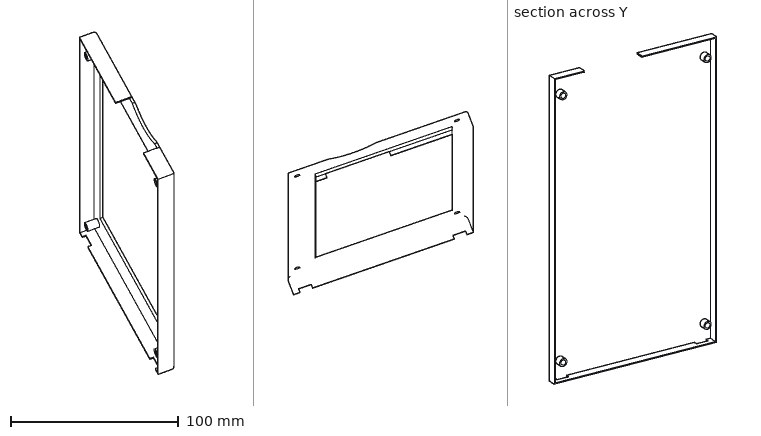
import cadquery as cq

width = 114.25
depth = 11.1
height = 200.3
wall = 1.0
plate = 2.0
edge_round = 2.0

back_y = depth / 2
front_y = -depth / 2
plate_y = back_y - plate

window_width = 87.0
window_height = 157.8
window_x = -4.1

post_x = 50.75
post_z = 87.35
post_diameter = 5.5
post_bore = 3.1
post_length = 7.6
post_tip_y = plate_y - post_length

opening_x = 15.6
opening_width = 40.5
scoop_width = 32.5
scoop_depth = 4.75

notch_x = 49.0
notch_width = 8.0
notch_depth = 2.4


def box(size_x, size_z, y_start, y_end, x=0.0, z=0.0):
    """Box centred on (x, z) and spanning y_start to y_end."""
    center = (x, (y_start + y_end) / 2, z)
    return cq.Workplane("XY").box(size_x, y_end - y_start, size_z).translate(center)


def cylinder(diameter, y_start, y_end, x, z):
    """Cylinder along Y from y_start to y_end, centred on (x, z)."""
    base = cq.Workplane("XZ", origin=(x, y_end, z))
    return base.circle(diameter / 2).extrude(y_end - y_start)


def make_tray():
    """Hollow tray with rounded back edges and a window in its plate."""
    body = box(width, height, front_y, back_y).faces(">Y").edges().fillet(edge_round)
    cavity = box(width - 2 * wall, height - 2 * wall, front_y, plate_y)
    window = box(window_width, window_height, plate_y, back_y, window_x)
    return body.cut(cavity).cut(window)


def add_posts(body):
    """Four posts standing on the plate, bored right through it."""
    for x in (-post_x, post_x):
        for z in (-post_z, post_z):
            body = body.union(cylinder(post_diameter, post_tip_y, plate_y, x, z))
            body = body.cut(cylinder(post_bore, post_tip_y, back_y, x, z))
    return body


def cut_finger_opening(body):
    """Gap in the top wall, with an arc scooped out of the plate's top edge."""
    top_wall_z = (height - wall) / 2
    opening = box(opening_width, wall, front_y, back_y, opening_x, top_wall_z)
    plate_top = height / 2 - wall
    scoop = (
        cq.Workplane("XZ", origin=(opening_x, back_y, plate_top))
        .moveTo(-scoop_width / 2, 0)
        .threePointArc((0, -scoop_depth), (scoop_width / 2, 0))
        .close()
        .extrude(plate)
    )
    return body.cut(opening).cut(scoop)


def cut_bottom_notches(body):
    """Two notches near the ends of the bottom wall's free edge."""
    bottom_wall_z = (wall - height) / 2
    for x in (-notch_x, notch_x):
        body = body.cut(box(notch_width, wall, front_y, front_y + notch_depth, x, bottom_wall_z))
    return body


tray = make_tray()
tray = add_posts(tray)
tray = cut_finger_opening(tray)
result = cut_bottom_notches(tray)